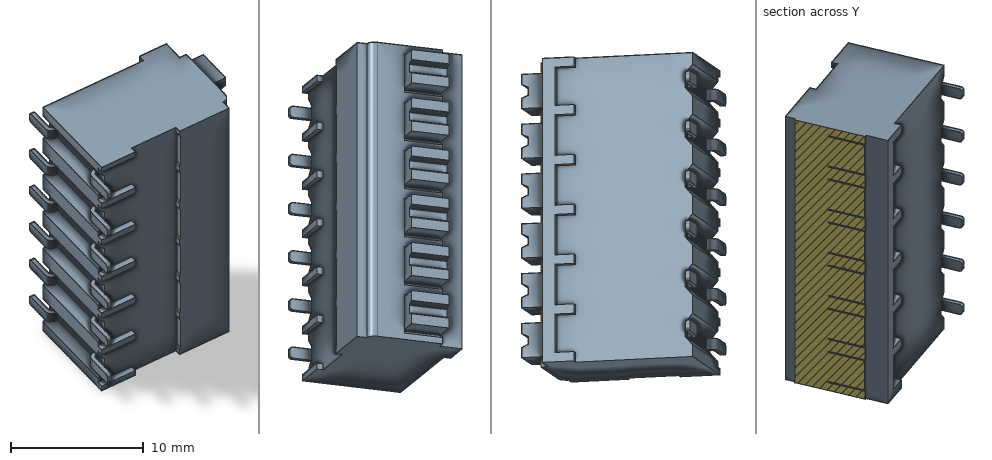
import cadquery as cq
import math

pole_count = 6
pitch = 3.81
end_margin = 2.1
length = (pole_count - 1) * pitch + 2 * end_margin
pole_heights = [(i - (pole_count - 1) / 2) * pitch for i in range(pole_count)]
divider_heights = [(i - pole_count / 2) * pitch for i in range(1, pole_count)]

depth = 13.85
rear_y = depth / 2
foot_face_y = -depth / 2
shoulder_y = rear_y - 1.5
deck_y = rear_y - 2.1
left_band_y = deck_y - 1.0
left_rib_y = rear_y - 4.55
right_plate_y = rear_y - 6.5
right_tooth_y = right_plate_y - 0.1
right_rib_y = rear_y - 10.6
front_y = foot_face_y + 0.19

left_x = -4.25
core_left_x = -3.7
shoulder_left_x = -2.45
shoulder_right_x = 3.4
core_right_x = 3.7
right_x = 4.2
shoulder_radius = shoulder_y - deck_y

left_rib_width = 0.71
right_rib_width = 0.56
right_tooth_root_width = 0.89

groove_depth = 0.61
groove_floor_width = 1.02
groove_mouth_width = 2.4
groove_floor_y = front_y + groove_depth

lever_left_x = -2.4
lever_right_x = 0.62
lever_height = 2.62
lever_notch_mouth = 1.06
lever_notch_floor = 0.6
lever_notch_depth = 0.5

slot_height = 2.72
slot_flare_depth = 0.28
slot_flare_top = 0.08
slot_flare_bottom = 0.24

foot_span = 10.5
pin_thickness = 0.35
pin_height = 0.88
pin_inner_radius = 0.25
pin_outer_radius = pin_inner_radius + pin_thickness
pin_leg_face_x = 2.57
pin_embed = 0.3
foot_tip_radius = 0.25


def box(x0, x1, y0, y1, z_centre, height):
    """Block between two X and two Y stations, centred on a height."""
    return cq.Workplane("XY").box(
        x1 - x0, y1 - y0, height, centered=False
    ).translate((x0, y0, z_centre - height / 2))


def yz_prism(points, x0, x1):
    """Prism along X from a closed outline of (y, z) points."""
    return cq.Workplane("YZ").workplane(offset=x0).polyline(points).close().extrude(x1 - x0)


def housing_core():
    """Plain core with the raised shoulder, one corner of which is rounded."""
    core = box(core_left_x, core_right_x, front_y, deck_y, 0, length)
    shoulder = box(shoulder_left_x, shoulder_right_x, deck_y, shoulder_y, 0, length)
    round_start_x = shoulder_right_x - shoulder_radius
    corner = box(round_start_x, shoulder_right_x, deck_y, shoulder_y, 0, length)
    quarter_round = (
        cq.Workplane("XY", origin=(round_start_x, deck_y, -length / 2))
        .circle(shoulder_radius)
        .extrude(length)
    )
    return core.union(shoulder.cut(corner.cut(quarter_round)))


def left_side():
    """Band along the whole row, with a short rib at each divider and each end."""
    side = box(left_x, core_left_x, left_band_y, deck_y, 0, length)
    end_height = (length - left_rib_width) / 2
    for z in [-end_height] + divider_heights + [end_height]:
        side = side.union(box(left_x, core_left_x, left_rib_y, deck_y, z, left_rib_width))
    return side


def right_side():
    """Rear plate with shallow teeth, and front ribs in line with the teeth."""
    side = box(core_right_x, right_x, right_plate_y, deck_y, 0, length)
    boundary_heights = [pole_heights[0] - pitch / 2] + divider_heights + [pole_heights[-1] + pitch / 2]
    root = right_tooth_root_width / 2
    tip = right_rib_width / 2
    for z in boundary_heights:
        tooth_outline = [
            (right_plate_y, z - root),
            (right_tooth_y, z - tip),
            (right_tooth_y, z + tip),
            (right_plate_y, z + root),
        ]
        side = side.union(yz_prism(tooth_outline, core_right_x, right_x))
        side = side.union(box(core_right_x, right_x, front_y, right_rib_y, z, right_rib_width))
    return side.intersect(box(core_right_x, right_x, front_y, deck_y, 0, length))


def groove(z):
    """Trapezoidal groove across the front face."""
    mouth = groove_mouth_width / 2
    floor = groove_floor_width / 2
    outline = [
        (front_y, z - mouth),
        (groove_floor_y, z - floor),
        (groove_floor_y, z + floor),
        (front_y, z + mouth),
    ]
    return yz_prism(outline, left_x, right_x)


def lever_slot(z):
    """Slot in the shoulder that opens to the left and flares at the rear."""
    top = z + slot_height / 2
    bottom = z - slot_height / 2
    flare_y = shoulder_y - slot_flare_depth
    outline = [
        (deck_y, bottom),
        (flare_y, bottom),
        (shoulder_y, bottom - slot_flare_bottom),
        (shoulder_y, top + slot_flare_top),
        (flare_y, top),
        (deck_y, top),
    ]
    return yz_prism(outline, shoulder_left_x, lever_right_x)


def lever(z):
    """Release lever with a tapered notch across its rear end."""
    mouth = lever_notch_mouth / 2
    floor = lever_notch_floor / 2
    half = lever_height / 2
    notch_y = rear_y - lever_notch_depth
    outline = [
        (deck_y, z - half),
        (rear_y, z - half),
        (rear_y, z - mouth),
        (notch_y, z - floor),
        (notch_y, z + floor),
        (rear_y, z + mouth),
        (rear_y, z + half),
        (deck_y, z + half),
    ]
    return yz_prism(outline, lever_left_x, lever_right_x)


def right_pin():
    """Leg out of the groove floor, bent outward into a flat foot, at height zero."""
    leg_outer_x = pin_leg_face_x + pin_thickness
    bend_x = pin_leg_face_x + pin_outer_radius
    bend_y = foot_face_y + pin_outer_radius
    foot_back_y = foot_face_y + pin_thickness
    leg_end_y = groove_floor_y + pin_embed
    tip_x = foot_span / 2
    diagonal = math.sqrt(0.5)
    outer_mid = (bend_x - pin_outer_radius * diagonal, bend_y - pin_outer_radius * diagonal)
    inner_mid = (bend_x - pin_inner_radius * diagonal, bend_y - pin_inner_radius * diagonal)
    pin = (
        cq.Workplane("XY", origin=(0, 0, -pin_height / 2))
        .moveTo(pin_leg_face_x, leg_end_y)
        .lineTo(pin_leg_face_x, bend_y)
        .threePointArc(outer_mid, (bend_x, foot_face_y))
        .lineTo(tip_x, foot_face_y)
        .lineTo(tip_x, foot_back_y)
        .lineTo(bend_x, foot_back_y)
        .threePointArc(inner_mid, (leg_outer_x, bend_y))
        .lineTo(leg_outer_x, leg_end_y)
        .close()
        .extrude(pin_height)
    )
    return pin.faces(">X").edges("|Y").fillet(foot_tip_radius)


result = housing_core().union(left_side()).union(right_side())
pin_right = right_pin()
pin_left = pin_right.mirror("YZ")

for pole_z in pole_heights:
    result = result.cut(groove(pole_z)).cut(lever_slot(pole_z))
    result = result.union(lever(pole_z))
    for pin in (pin_right, pin_left):
        result = result.union(pin.translate((0, 0, pole_z)))